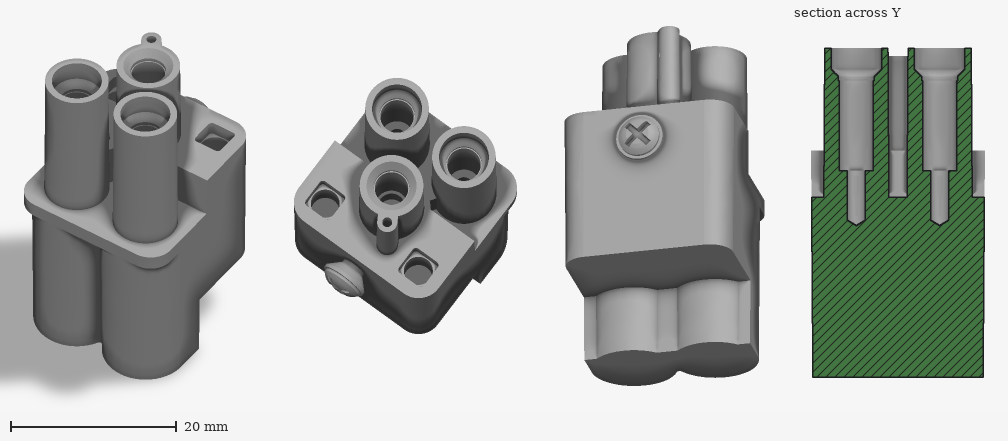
import math

import cadquery as cq

FLANGE_BOTTOM = 19.9
SHELF_TOP = 21.8
REAR_BOTTOM = 8.3
REAR_TOP = 27.4
REAR_TOWER_TOP = 38.8
FRONT_TOWER_TOP = 39.8

BODY_SIZE = 21.0
HALF_BODY = BODY_SIZE / 2
BODY_CORNER_RADIUS = 3.0
BODY_DRAFT = 0.4
STEP_BOTTOM_Y = 0.07
STEP_TOP_Y = 0.19
UNDERSIDE_STEP_Y = -1.25

TUBE_X = 5.04
TUBE_Y = -5.0
TUBE_RADIUS = 5.43
TUBE_VALLEY_RADIUS = 0.35

FRONT_TOWER_X = 5.03
FRONT_TOWER_Y = -5.03
REAR_TOWER_Y = 2.86
TOWER_BASE_RADIUS = 3.96
TOWER_TOP_RADIUS = 3.85
SLEEVE_RADIUS = 4.7
WEB_WIDTH = 1.6

SOCKET_MOUTH_RADIUS = 3.02
SOCKET_NECK_RADIUS = 2.15
SOCKET_NECK_LENGTH = 0.45
SOCKET_BORE_RADIUS = 2.02
SOCKET_FLOOR_Z = 25.0
FRONT_MOUTH_DEPTH = 2.6
REAR_SEAT_RADIUS = 1.65
REAR_SEAT_Z = 28.0
CONTACT_HOLE_RADIUS = 1.07
CONTACT_HOLE_DEPTH = 6.0
DRILL_POINT_ANGLE = 118.0

BOSS_ANGLE = 120.0
BOSS_DISTANCE = 4.55
BOSS_BASE_RADIUS = 1.32
BOSS_TOP_RADIUS = 1.22
BOSS_HOLE_RADIUS = 0.6
BOSS_HOLE_DEPTH = 10.0

POCKET_X = 7.0
POCKET_Y = 6.86
POCKET_SIZE = 3.75
POCKET_CORNER_RADIUS = 0.5
POCKET_DEPTH = 1.75
POCKET_HOLE_RADIUS = 1.75
POCKET_HOLE_DEPTH = 6.0

SCREW_Z = 22.37
SCREW_SHANK_RADIUS = 1.52
SCREW_NECK_RADIUS = 1.65
SCREW_DISC_RADIUS = 2.88
SCREW_HEAD_RADIUS = 2.52
SCREW_CROWN_RADIUS = 1.4
SCREW_EMBEDDED_Y = 9.0
SCREW_CONE_START_Y = 10.98
SCREW_DISC_START_Y = 12.25
SCREW_DISC_END_Y = 12.68
SCREW_DOME_START_Y = 13.02
SCREW_TIP_Y = 13.789
DOME_BULGE = 0.08
DRIVE_ARM_LENGTH = 1.9
DRIVE_ARM_WIDTH = 0.8
DRIVE_DEPTH = 1.0
DRIVE_ANGLE = 45.0


def box(x_range, y_range, z_range):
    """Axis-aligned box between two limits on each axis."""
    (x0, x1), (y0, y1), (z0, z1) = x_range, y_range, z_range
    return cq.Workplane("XY").box(x1 - x0, y1 - y0, z1 - z0, centered=False).translate((x0, y0, z0))


def cone(x, y, z_low, z_high, radius_low, radius_high):
    """Vertical frustum; a zero low radius gives a pointed cone."""
    solid = cq.Solid.makeCone(radius_low, radius_high, z_high - z_low, cq.Vector(x, y, z_low))
    return cq.Workplane(obj=solid)


def cylinder(x, y, z_low, z_high, radius):
    """Vertical cylinder between two levels."""
    solid = cq.Solid.makeCylinder(radius, z_high - z_low, cq.Vector(x, y, z_low))
    return cq.Workplane(obj=solid)


def strip(start, end, width, z_low, z_high, draft=0):
    """Vertical wall between two points in plan, of the given width at its base."""
    dx, dy = end[0] - start[0], end[1] - start[1]
    length = math.hypot(dx, dy)
    return (
        cq.Workplane("XY")
        .rect(length, width)
        .extrude(z_high - z_low, taper=draft)
        .rotate((0, 0, 0), (0, 0, 1), math.degrees(math.atan2(dy, dx)))
        .translate(((start[0] + end[0]) / 2, (start[1] + end[1]) / 2, z_low))
    )


def drafted_block():
    """Rounded square block that narrows slightly from the rear top down to the base."""
    outline = cq.Sketch().rect(BODY_SIZE, BODY_SIZE).vertices().fillet(BODY_CORNER_RADIUS)
    top = cq.Workplane("XY").workplane(offset=REAR_TOP).placeSketch(outline)
    return top.extrude(-REAR_TOP, taper=BODY_DRAFT)


def wire_tubes():
    """Two overlapping drafted tubes with a rounded valley, trimmed to the body width."""
    base_radius = TUBE_RADIUS - FLANGE_BOTTOM * math.tan(math.radians(BODY_DRAFT))
    left, right = [
        cone(x, TUBE_Y, 0, FLANGE_BOTTOM, base_radius, TUBE_RADIUS) for x in (-TUBE_X, TUBE_X)
    ]
    reach = TUBE_VALLEY_RADIUS
    valley = cq.selectors.BoxSelector((-reach, -HALF_BODY, 0), (reach, TUBE_Y, FLANGE_BOTTOM))
    tubes = left.union(right).edges(valley).fillet(TUBE_VALLEY_RADIUS)
    return tubes.intersect(drafted_block())


def space_above_shelf():
    """Room in front of the rear block, ending at its slightly leaning front face."""
    return (
        cq.Workplane("YZ")
        .moveTo(-HALF_BODY, SHELF_TOP)
        .lineTo(STEP_BOTTOM_Y, SHELF_TOP)
        .lineTo(STEP_TOP_Y, REAR_TOP)
        .lineTo(-HALF_BODY, REAR_TOP)
        .close()
        .extrude(HALF_BODY, both=True)
    )


def main_body():
    """Block with its shelf, front flange, rear underside step and wire tubes."""
    wide = (-HALF_BODY, HALF_BODY)
    front_cut = box(wide, (-HALF_BODY, TUBE_Y), (0, FLANGE_BOTTOM))
    rear_cut = box(wide, (UNDERSIDE_STEP_Y, HALF_BODY), (0, REAR_BOTTOM))
    block = drafted_block().cut(space_above_shelf()).cut(front_cut).cut(rear_cut)
    return block.union(wire_tubes())


def front_tower(x):
    return cone(x, FRONT_TOWER_Y, SHELF_TOP, FRONT_TOWER_TOP, TOWER_BASE_RADIUS, TOWER_TOP_RADIUS)


def rear_tower():
    """Tower on the rear block, with a sleeve that reaches down to the shelf."""
    tower = cone(0, REAR_TOWER_Y, REAR_TOP, REAR_TOWER_TOP, TOWER_BASE_RADIUS, TOWER_TOP_RADIUS)
    sleeve = cylinder(0, REAR_TOWER_Y, SHELF_TOP, REAR_TOP, SLEEVE_RADIUS)
    return tower.union(sleeve)


def tower_web(x):
    """Wall joining the sleeve to a front tower."""
    return strip((0, REAR_TOWER_Y), (x, FRONT_TOWER_Y), WEB_WIDTH, SHELF_TOP, REAR_TOP)


def boss_center():
    angle = math.radians(BOSS_ANGLE)
    return BOSS_DISTANCE * math.cos(angle), REAR_TOWER_Y + BOSS_DISTANCE * math.sin(angle)


def coding_boss():
    """Small round boss joined to the rear tower by a web as wide as the boss."""
    x, y = boss_center()
    boss = cone(x, y, REAR_TOP, REAR_TOWER_TOP, BOSS_BASE_RADIUS, BOSS_TOP_RADIUS)
    draft = math.degrees(math.atan2(BOSS_BASE_RADIUS - BOSS_TOP_RADIUS, REAR_TOWER_TOP - REAR_TOP))
    web = strip((0, REAR_TOWER_Y), (x, y), 2 * BOSS_BASE_RADIUS, REAR_TOP, REAR_TOWER_TOP, draft)
    return boss.union(web)


def boss_hole():
    x, y = boss_center()
    return cylinder(x, y, REAR_TOWER_TOP - BOSS_HOLE_DEPTH, REAR_TOWER_TOP, BOSS_HOLE_RADIUS)


def contact_hole(x, y, z_top):
    """Blind hole with a drill point."""
    z_low = z_top - CONTACT_HOLE_DEPTH
    point = CONTACT_HOLE_RADIUS / math.tan(math.radians(DRILL_POINT_ANGLE / 2))
    hole = cylinder(x, y, z_low, z_top, CONTACT_HOLE_RADIUS)
    return hole.union(cone(x, y, z_low - point, z_low, 0, CONTACT_HOLE_RADIUS))


def socket(x, y, z_mouth, z_floor):
    """Bore with a 45 degree lead-in at z_mouth and a short wider neck below it."""
    z_neck = z_mouth - (SOCKET_MOUTH_RADIUS - SOCKET_NECK_RADIUS)
    lead = cone(x, y, z_neck, z_mouth, SOCKET_NECK_RADIUS, SOCKET_MOUTH_RADIUS)
    neck = cylinder(x, y, z_neck - SOCKET_NECK_LENGTH, z_neck, SOCKET_NECK_RADIUS)
    bore = cylinder(x, y, z_floor, z_neck, SOCKET_BORE_RADIUS)
    return bore.union(neck).union(lead)


def front_socket(x):
    """Wide straight mouth above a socket bore."""
    z_mouth = FRONT_TOWER_TOP - FRONT_MOUTH_DEPTH
    mouth = cylinder(x, FRONT_TOWER_Y, z_mouth, FRONT_TOWER_TOP, SOCKET_MOUTH_RADIUS)
    bore = socket(x, FRONT_TOWER_Y, z_mouth, SOCKET_FLOOR_Z)
    return mouth.union(bore).union(contact_hole(x, FRONT_TOWER_Y, SOCKET_FLOOR_Z))


def rear_socket():
    """Socket bore that steps down to a narrower contact seat."""
    bore = socket(0, REAR_TOWER_Y, REAR_TOWER_TOP, REAR_SEAT_Z)
    seat = cylinder(0, REAR_TOWER_Y, SOCKET_FLOOR_Z, REAR_SEAT_Z, REAR_SEAT_RADIUS)
    return bore.union(seat).union(contact_hole(0, REAR_TOWER_Y, SOCKET_FLOOR_Z))


def square_pocket(x):
    """Square recess with a round blind hole in its floor."""
    outline = cq.Sketch().rect(POCKET_SIZE, POCKET_SIZE).vertices().fillet(POCKET_CORNER_RADIUS)
    recess = cq.Workplane("XY", origin=(x, POCKET_Y, REAR_TOP)).placeSketch(outline)
    recess = recess.extrude(-POCKET_DEPTH)
    hole = cylinder(x, POCKET_Y, REAR_TOP - POCKET_HOLE_DEPTH, REAR_TOP, POCKET_HOLE_RADIUS)
    return recess.union(hole)


def drive_recess():
    """Cross recess in the screw head."""
    arm = cq.Workplane("XY").box(2 * DRIVE_ARM_LENGTH, DRIVE_DEPTH, DRIVE_ARM_WIDTH)
    cross = arm.union(arm.rotate((0, 0, 0), (0, 1, 0), 90))
    cross = cross.rotate((0, 0, 0), (0, 1, 0), DRIVE_ANGLE)
    return cross.translate((0, SCREW_TIP_Y - DRIVE_DEPTH / 2, SCREW_Z))


def screw():
    """Screw turned about an axis along Y, its head standing off the rear face."""
    dome_middle = (
        (SCREW_HEAD_RADIUS + SCREW_CROWN_RADIUS) / 2 + DOME_BULGE,
        (SCREW_DOME_START_Y + SCREW_TIP_Y) / 2 + DOME_BULGE,
    )
    turned = (
        cq.Workplane("XY", origin=(0, 0, SCREW_Z))
        .moveTo(0, SCREW_EMBEDDED_Y)
        .lineTo(SCREW_SHANK_RADIUS, SCREW_EMBEDDED_Y)
        .lineTo(SCREW_SHANK_RADIUS, SCREW_CONE_START_Y)
        .lineTo(SCREW_NECK_RADIUS, SCREW_CONE_START_Y)
        .lineTo(SCREW_DISC_RADIUS, SCREW_DISC_START_Y)
        .lineTo(SCREW_DISC_RADIUS, SCREW_DISC_END_Y)
        .lineTo(SCREW_HEAD_RADIUS, SCREW_DISC_END_Y)
        .lineTo(SCREW_HEAD_RADIUS, SCREW_DOME_START_Y)
        .threePointArc(dome_middle, (SCREW_CROWN_RADIUS, SCREW_TIP_Y))
        .lineTo(0, SCREW_TIP_Y)
        .close()
        .revolve(360, (0, 0, 0), (0, 1, 0))
    )
    return turned.cut(drive_recess())


body = main_body().union(rear_tower()).union(coding_boss())
for tower_x in (-FRONT_TOWER_X, FRONT_TOWER_X):
    body = body.union(front_tower(tower_x)).union(tower_web(tower_x))

body = body.cut(rear_socket()).cut(boss_hole())
for tower_x in (-FRONT_TOWER_X, FRONT_TOWER_X):
    body = body.cut(front_socket(tower_x))
for pocket_x in (-POCKET_X, POCKET_X):
    body = body.cut(square_pocket(pocket_x))

result = body.union(screw())